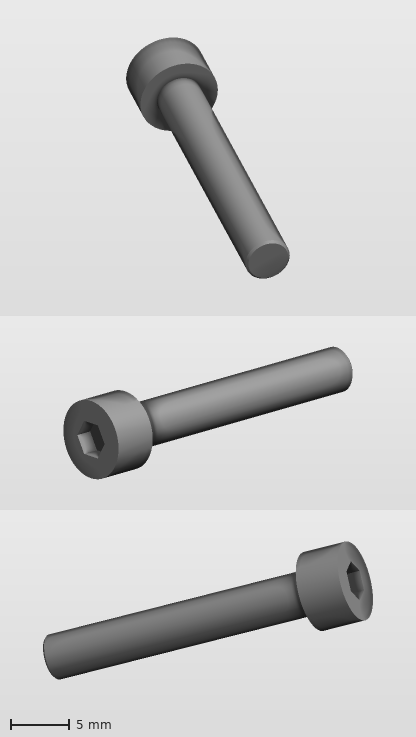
import cadquery as cq
import math

head_diameter = 7.0
head_length = 4.0
shank_diameter = 4.0
shank_length = 25.0
tip_chamfer = 0.2
socket_across_flats = 3.0
socket_depth = 1.5

socket_across_corners = socket_across_flats / math.cos(math.pi / 6)


def make_head():
    """Plain cylindrical head."""
    return cq.Workplane("YZ").circle(head_diameter / 2).extrude(head_length)


def make_shank():
    """Shank starting under the head, chamfered at its free end."""
    shank = cq.Workplane("YZ", origin=(head_length, 0, 0)).circle(shank_diameter / 2).extrude(shank_length)
    return shank.faces(">X").chamfer(tip_chamfer)


def make_socket():
    """Hexagonal drive recess with two opposite corners on the Y axis."""
    return cq.Workplane("YZ").polygon(6, socket_across_corners).extrude(socket_depth)


result = make_head().union(make_shank()).cut(make_socket())